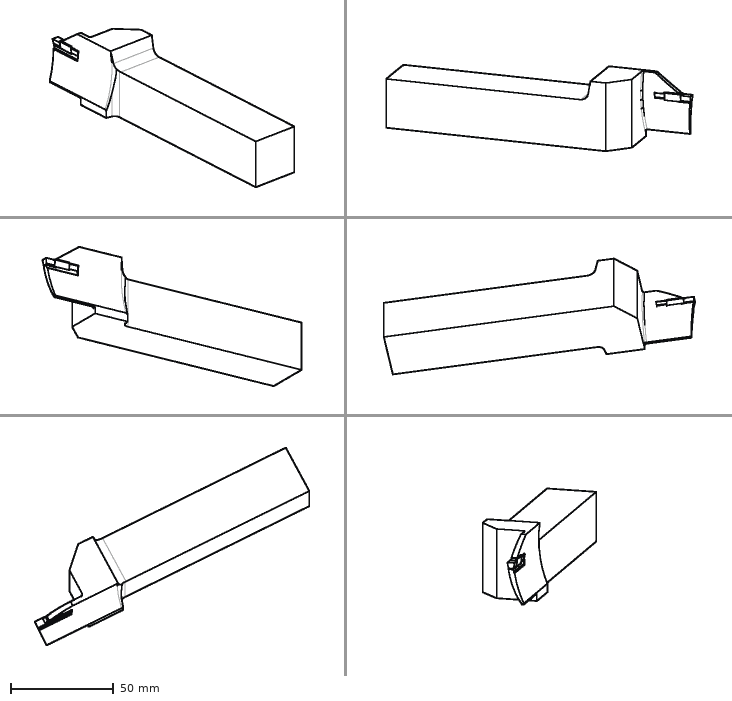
import cadquery as cq
import math


total_length = 150.0
shank_size = 25.0
total_height = 35.0
head_front_x = 25.8
head_front_y = -5.4
head_chamfer = 9.9
head_back_x = 43.8
head_side_back_x = 44.8
back_slope = math.tan(math.radians(10))
top_fillet = 4.2
side_fillet = 3.0

blade_bottom_z = 3.7
blade_tip_x = 0.5
blade_tip_z = 21.6
blade_relief = math.tan(math.radians(7))
blade_top_x = 18.9
blade_root_fillet = 0.9
outer_radius = 39.0
outer_crest_y = 2.0
outer_crest_z = shank_size
inner_radius = 53.4
inner_crest_y = -0.97
inner_crest_z = 25.6
runout_length = 4.0

insert_length = 18.9
insert_mid_x = insert_length / 2
cutting_z = shank_size
head_length = 5.2
head_back_y = 2.2
head_front_edge_y = -1.3
head_side_taper = 0.5
head_side_bottom_z = 22.3
end_relief = math.tan(math.radians(7))
body_front_y = head_front_edge_y + head_side_taper
body_back_y = head_back_y - head_side_taper
body_bottom_z = 21.7
body_top_z = 25.8
body_chamfer = 0.5
ramp_start_x = 4.2
ramp_end_x = 5.7

jaw_front_x = 6.3
jaw_nose_z = 26.1
jaw_bottom_z = body_top_z
recess_end_x = 18.9
recess_end_slant = 0.6
recess_floor_y = -0.7
recess_depth = 1.2
recess_bottom_z = 20.2
recess_top_z = 25.2
recess_wall_angle = 40


def extrude_along_y(points, y_start, y_end):
    """Prism of an XZ outline between two Y positions."""
    outline = cq.Workplane("XZ", origin=(0, y_start, 0)).polyline(points).close()
    return outline.extrude(y_start - y_end)


def extrude_along_x(points, x_start, x_end):
    """Prism of a YZ outline between two X positions."""
    outline = cq.Workplane("YZ", origin=(x_start, 0, 0)).polyline(points).close()
    return outline.extrude(x_end - x_start)


def cylinder_along_x(radius, crest_y, crest_z, length):
    """Cylinder along X whose rearmost line lies at the given Y and Z."""
    return cq.Workplane("YZ").center(crest_y - radius, crest_z).circle(radius).extrude(length)


def make_head_and_shank():
    """Stepped bar: its side outline and its plan outline, each extruded and intersected."""
    top_root_x = head_back_x + (total_height - shank_size) * back_slope
    side = extrude_along_y(
        [
            (head_front_x, 0),
            (total_length, 0),
            (total_length, shank_size),
            (top_root_x, shank_size),
            (head_back_x, total_height),
            (head_front_x, total_height),
        ],
        head_front_y,
        shank_size,
    )
    side_mid_y = (head_front_y + shank_size) / 2
    side = side.edges(cq.NearestToPointSelector((top_root_x, side_mid_y, shank_size))).fillet(top_fillet)

    side_root_x = head_side_back_x - head_front_y * back_slope
    plan = (
        cq.Workplane("XY")
        .moveTo(head_front_x, head_front_y)
        .lineTo(head_side_back_x, head_front_y)
        .lineTo(side_root_x, 0)
        .lineTo(total_length, 0)
        .lineTo(total_length, shank_size)
        .lineTo(head_front_x + head_chamfer, shank_size)
        .lineTo(head_front_x, shank_size - head_chamfer)
        .close()
        .extrude(total_height)
    )
    plan = plan.edges(cq.NearestToPointSelector((side_root_x, 0, total_height / 2))).fillet(side_fillet)
    return side.intersect(plan)


def make_blade():
    """Curved blade in front of the head, with a relieved front end and a sloped top."""
    bottom_x = blade_tip_x + (blade_tip_z - blade_bottom_z) * blade_relief
    outline = extrude_along_y(
        [
            (bottom_x, blade_bottom_z),
            (head_front_x, blade_bottom_z),
            (head_front_x, total_height),
            (blade_top_x, total_height),
            (jaw_front_x, jaw_nose_z),
            (jaw_front_x, blade_tip_z),
            (blade_tip_x, blade_tip_z),
        ],
        head_front_y,
        shank_size,
    )
    return outline.intersect(cylinder_along_x(outer_radius, outer_crest_y, outer_crest_z, head_front_x))


def make_concave_cutter():
    """Cylinder that hollows the front of the blade and head, flaring into a cone at the back."""
    cylinder = cylinder_along_x(inner_radius, inner_crest_y, inner_crest_z, head_back_x)
    runout = cq.Solid.makeCone(
        inner_radius,
        inner_radius + runout_length * back_slope,
        runout_length,
        cq.Vector(head_back_x, inner_crest_y - inner_radius, inner_crest_z),
        cq.Vector(1, 0, 0),
    )
    return cylinder.union(cq.Workplane(runout))


def make_recess():
    """Shallow flat recess around the insert on the concave side, with a slanted end and bevelled walls."""
    outline = cq.Workplane("XZ", origin=(0, recess_floor_y, 0)).polyline(
        [
            (-recess_depth, recess_bottom_z),
            (recess_end_x - recess_end_slant, recess_bottom_z),
            (recess_end_x, recess_top_z),
            (-recess_depth, recess_top_z),
        ]
    )
    return outline.close().extrude(recess_depth, taper=-recess_wall_angle)


def make_holder(insert):
    """Shank, head and blade in one piece, hollowed along the blade and open for the insert."""
    holder = make_head_and_shank().union(make_blade())
    margin = 0.1
    root = cq.selectors.BoxSelector(
        (head_front_x - margin, head_front_y - margin, blade_bottom_z - margin),
        (head_front_x + margin, outer_crest_y + margin, total_height - margin),
    )
    holder = holder.edges(root).fillet(blade_root_fillet)
    holder = holder.cut(make_concave_cutter())
    slot = extrude_along_y(
        [
            (0, body_bottom_z),
            (insert_length - head_length, body_bottom_z),
            (insert_length - head_length, jaw_bottom_z),
            (0, jaw_bottom_z),
        ],
        head_front_y,
        shank_size,
    )
    return holder.cut(slot).cut(make_recess()).cut(insert)


def make_insert_head():
    """Cutting head at X = 0: tapered sides, a shallow V underneath and a relieved end face."""
    section = [
        (head_front_edge_y, cutting_z),
        (head_back_y, cutting_z),
        (body_back_y, head_side_bottom_z),
        ((head_front_edge_y + head_back_y) / 2, body_bottom_z),
        (body_front_y, head_side_bottom_z),
    ]
    end = extrude_along_y(
        [
            (0, cutting_z),
            (head_length, cutting_z),
            (head_length, body_bottom_z),
            ((cutting_z - body_bottom_z) * end_relief, body_bottom_z),
        ],
        head_front_edge_y,
        head_back_y,
    )
    return extrude_along_x(section, 0, head_length).intersect(end)


def make_insert():
    """Clamping body with a mirrored cutting head at each end."""
    half_body = extrude_along_y(
        [
            (head_length, body_bottom_z),
            (insert_mid_x, body_bottom_z),
            (insert_mid_x, body_top_z),
            (ramp_end_x, body_top_z),
            (ramp_start_x, cutting_z),
            (head_length, cutting_z),
        ],
        body_front_y,
        body_back_y,
    )
    half_body = half_body.faces(">Z").edges("|X").chamfer(body_chamfer)
    half = half_body.union(make_insert_head())
    other_half = half.mirror("YZ", (insert_mid_x, 0, 0))
    return half.union(other_half).clean()


insert = make_insert()
holder = make_holder(insert)
result = cq.Compound.makeCompound([holder.solids().val(), insert.solids().val()])